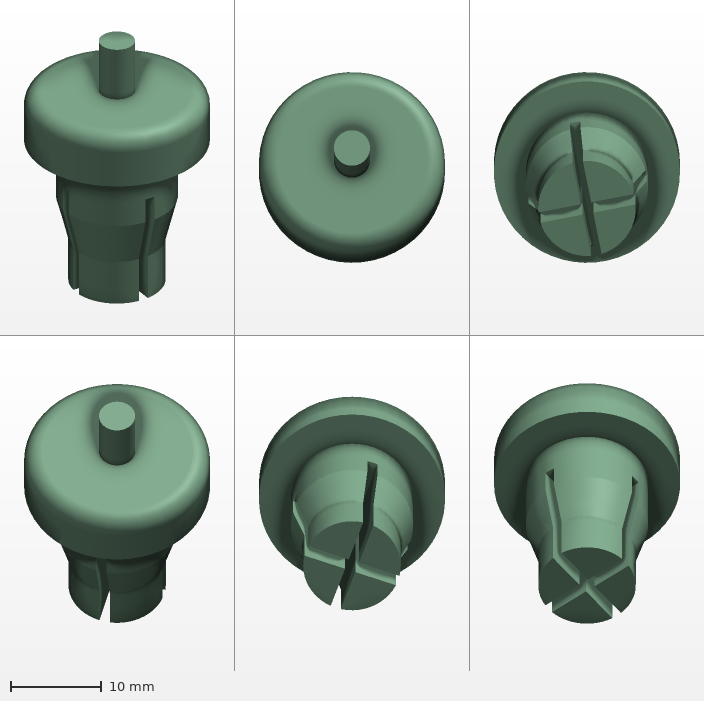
import cadquery as cq

total_height = 30.55
head_top = 24.2
head_bottom = 17.9
slot_top = 13.7
taper_top = 10.75
taper_bottom = 5.38

head_diameter = 20.57
collar_diameter = 13.5
tip_diameter = 10.8
pin_diameter = 4.0

head_rounding = 1.9
slot_width = 1.2


def make_plug():
    """Collar that tapers down to a narrower cylindrical tip."""
    collar_radius = collar_diameter / 2
    tip_radius = tip_diameter / 2
    return (
        cq.Workplane("XZ")
        .moveTo(0, 0)
        .lineTo(tip_radius, 0)
        .lineTo(tip_radius, taper_bottom)
        .lineTo(collar_radius, taper_top)
        .lineTo(collar_radius, head_bottom)
        .lineTo(0, head_bottom)
        .close()
        .revolve(360, (0, 0, 0), (0, 1, 0))
    )


def make_cross_slots():
    """Two perpendicular slots that split the plug into four fingers."""
    slot = cq.Workplane("XY").rect(collar_diameter, slot_width).extrude(slot_top)
    return slot.union(slot.rotate((0, 0, 0), (0, 0, 1), 90))


def make_head():
    """Disc with a rounded upper rim."""
    head = cq.Workplane("XY").workplane(offset=head_bottom).circle(head_diameter / 2)
    return head.extrude(head_top - head_bottom).faces(">Z").edges().fillet(head_rounding)


def make_pin():
    """Straight pin standing on the head."""
    pin = cq.Workplane("XY").workplane(offset=head_top).circle(pin_diameter / 2)
    return pin.extrude(total_height - head_top)


split_plug = make_plug().cut(make_cross_slots())
result = split_plug.union(make_head()).union(make_pin())